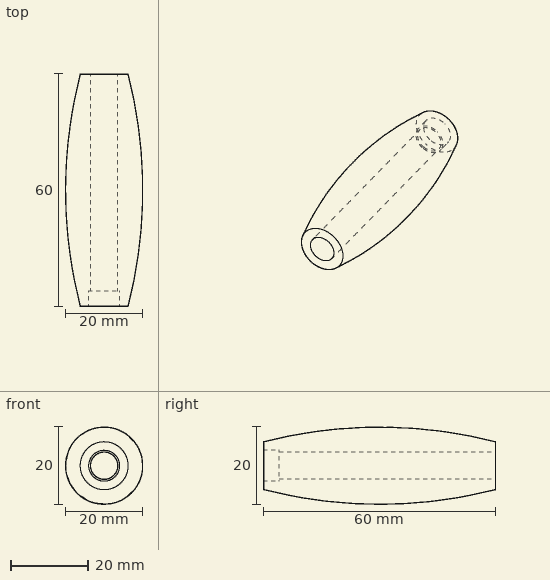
import cadquery as cq

length = 60.0
middle_diameter = 20.0
end_diameter = 12.4

through_diameter = 7.0
counterbore_diameter = 8.0
counterbore_depth = 4.0

half_length = length / 2


def make_barrel():
    """Revolve a profile whose side is one arc, widest at mid-length."""
    profile = (
        cq.Workplane("XY")
        .moveTo(0, -half_length)
        .lineTo(end_diameter / 2, -half_length)
        .threePointArc((middle_diameter / 2, 0), (end_diameter / 2, half_length))
        .lineTo(0, half_length)
        .close()
    )
    return profile.revolve(360, (0, 0, 0), (0, 1, 0))


def make_bore(diameter, depth):
    """Cylinder running from the front (-Y) end into the barrel."""
    return (
        cq.Workplane("XZ", origin=(0, -half_length, 0))
        .circle(diameter / 2)
        .extrude(-depth)
    )


result = (
    make_barrel()
    .cut(make_bore(through_diameter, length))
    .cut(make_bore(counterbore_diameter, counterbore_depth))
)